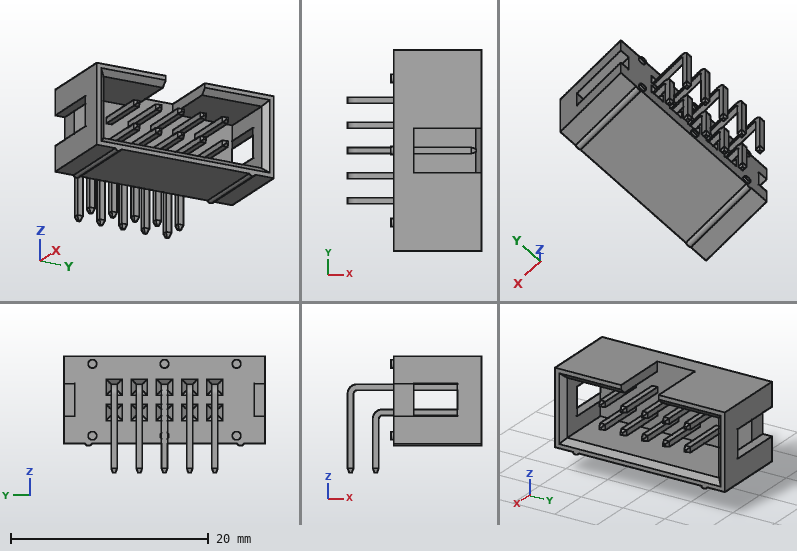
import cadquery as cq

HOUSING_DEPTH = 8.9
HOUSING_WIDTH = 20.35
HOUSING_HEIGHT = 8.85
WALL = 1.1
REAR_WALL = 2.05
MOUTH_CHAMFER = 0.61

KEY_SLOT_WIDTH = 4.5
WINDOW_HEIGHT = 3.28
WINDOW_FRONT_X = 6.45

PITCH = 2.55
COLUMNS = 5
PIN_WIDTH = 0.63
PIN_BEND_OUTER_RADIUS = 1.0
PIN_TIP_LENGTH = 0.49
PIN_TIP_WIDTH = 0.26
PIN_MATING_END_X = 8.37
PIN_SOLDER_END_Z = -2.97
REAR_OVERHANG = 4.66

FUNNEL_MOUTH = 1.65
FUNNEL_DEPTH = 0.5

STUD_DIAMETER = 0.85
STUD_HEIGHT = 0.26
STUD_SPACING = 7.29
STUD_EDGE_DISTANCE = 0.8

RIDGE_OFFSET = 7.7
RIDGE_WIDTH = 0.71
RIDGE_HEIGHT = 0.22

MID_Z = HOUSING_HEIGHT / 2
COLUMN_YS = [(i - (COLUMNS - 1) / 2) * PITCH for i in range(COLUMNS)]
UPPER_ROW_Z = MID_Z + PITCH / 2
LOWER_ROW_Z = MID_Z - PITCH / 2
UPPER_LEG_X = -REAR_OVERHANG + PIN_WIDTH / 2
LOWER_LEG_X = UPPER_LEG_X + PITCH
ROWS = [(UPPER_ROW_Z, UPPER_LEG_X), (LOWER_ROW_Z, LOWER_LEG_X)]


def block(x_min, x_max, width, z_min, z_max):
    """Box centred on Y = 0."""
    return (
        cq.Workplane("XY")
        .box(x_max - x_min, width, z_max - z_min, centered=(False, True, False))
        .translate((x_min, 0, z_min))
    )


def make_shell():
    """Open-fronted box with a lead-in chamfer, key slot and end windows."""
    shell = block(0, HOUSING_DEPTH, HOUSING_WIDTH, 0, HOUSING_HEIGHT)
    cavity = block(REAR_WALL, HOUSING_DEPTH, HOUSING_WIDTH - 2 * WALL, WALL, HOUSING_HEIGHT - WALL)
    shell = shell.cut(cavity)

    lead_in = (
        cq.Workplane("YZ", origin=(HOUSING_DEPTH, 0, MID_Z))
        .rect(HOUSING_WIDTH - 2 * (WALL - MOUTH_CHAMFER), HOUSING_HEIGHT - 2 * (WALL - MOUTH_CHAMFER))
        .workplane(offset=-MOUTH_CHAMFER)
        .rect(HOUSING_WIDTH - 2 * WALL, HOUSING_HEIGHT - 2 * WALL)
        .loft()
    )
    key_slot = block(REAR_WALL, HOUSING_DEPTH, KEY_SLOT_WIDTH, MID_Z, HOUSING_HEIGHT)
    shell = shell.cut(lead_in).cut(key_slot)

    window_z = MID_Z - WINDOW_HEIGHT / 2
    for side in (-1, 1):
        window = block(0, WINDOW_FRONT_X, WALL, window_z, window_z + WINDOW_HEIGHT)
        shell = shell.cut(window.translate((0, side * (HOUSING_WIDTH - WALL) / 2, 0)))
    return shell


def make_funnel(y, z):
    """Square tapered recess around a pin where it leaves the rear wall."""
    return (
        cq.Workplane("YZ", origin=(0, y, z))
        .rect(FUNNEL_MOUTH, FUNNEL_MOUTH)
        .workplane(offset=FUNNEL_DEPTH)
        .rect(PIN_WIDTH, PIN_WIDTH)
        .loft()
    )


def make_studs():
    """Two rows of three round stand-off studs on the rear face."""
    centres = [
        (column * STUD_SPACING, z)
        for column in (-1, 0, 1)
        for z in (STUD_EDGE_DISTANCE, HOUSING_HEIGHT - STUD_EDGE_DISTANCE)
    ]
    return cq.Workplane("YZ").pushPoints(centres).circle(STUD_DIAMETER / 2).extrude(-STUD_HEIGHT)


def make_ridge(y):
    """Rounded ridge along the underside."""
    return (
        cq.Workplane("YZ")
        .moveTo(y - RIDGE_WIDTH / 2, 0)
        .threePointArc((y, -RIDGE_HEIGHT), (y + RIDGE_WIDTH / 2, 0))
        .close()
        .extrude(HOUSING_DEPTH)
    )


def make_tip(plane, origin, direction):
    """Truncated pyramid that tapers a pin end along the plane normal."""
    return (
        cq.Workplane(plane, origin=origin)
        .rect(PIN_WIDTH, PIN_WIDTH)
        .workplane(offset=direction * PIN_TIP_LENGTH)
        .rect(PIN_TIP_WIDTH, PIN_TIP_WIDTH)
        .loft()
    )


def make_pin(y, row_z, leg_x):
    """Square pin: straight through the rear wall, bent down into a solder leg."""
    mating_shoulder_x = PIN_MATING_END_X - PIN_TIP_LENGTH
    solder_shoulder_z = PIN_SOLDER_END_Z + PIN_TIP_LENGTH
    bend_radius = PIN_BEND_OUTER_RADIUS - PIN_WIDTH / 2
    path = (
        cq.Workplane("XZ", origin=(0, y, 0))
        .moveTo(mating_shoulder_x, row_z)
        .lineTo(leg_x + bend_radius, row_z)
        .tangentArcPoint((leg_x, row_z - bend_radius), relative=False)
        .lineTo(leg_x, solder_shoulder_z)
    )
    bar = (
        cq.Workplane("YZ", origin=(mating_shoulder_x, y, row_z))
        .rect(PIN_WIDTH, PIN_WIDTH)
        .sweep(path)
    )
    mating_tip = make_tip("YZ", (mating_shoulder_x, y, row_z), 1)
    solder_tip = make_tip("XY", (leg_x, y, solder_shoulder_z), -1)
    return bar.union(mating_tip).union(solder_tip)


result = make_shell().union(make_studs())
for ridge_side in (-1, 1):
    result = result.union(make_ridge(ridge_side * RIDGE_OFFSET))
for pin_z, solder_leg_x in ROWS:
    for pin_y in COLUMN_YS:
        result = result.cut(make_funnel(pin_y, pin_z))
        result = result.union(make_pin(pin_y, pin_z, solder_leg_x))